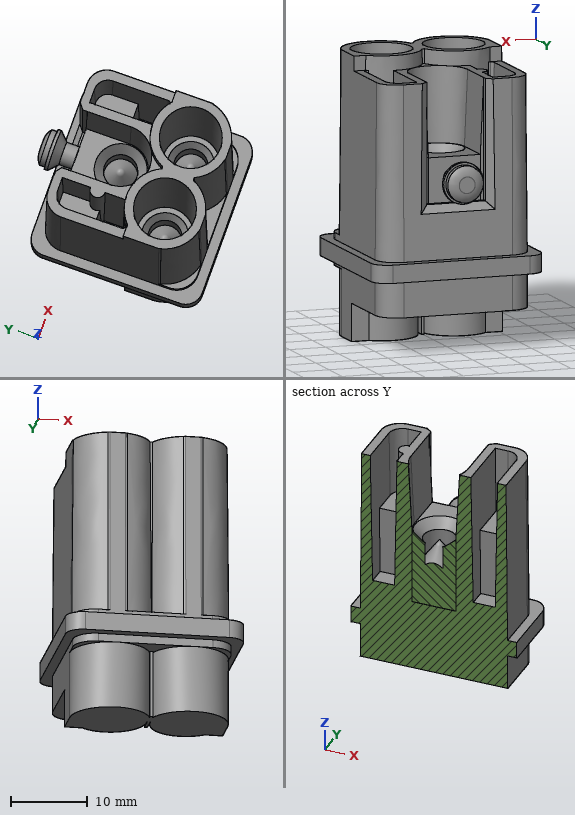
import cadquery as cq
import math

FLANGE_SIDE = 23.6
FLANGE_CORNER = 2.28
FLANGE_BOTTOM = 10.05
FLANGE_TOP = 12.45
RIM_BOTTOM = 8.95
RIM_TOP = 13.38
SKIRT_BOTTOM = 5.1
SHOULDER_TOP = 36.02
TOP = 38.0

BODY_SIDE = 20.98
BODY_CORNER = 2.93
DRAFT = 0.5
DRAFT_SHIFT = (TOP - FLANGE_TOP) * math.tan(math.radians(DRAFT))

TOWER_X = 5.0
TOWER_Y = -TOWER_X
TOWER_RADIUS = 5.55
RIB_FACE_HALF = 1.03
RIB_ROOT_HALF = 1.3
TOWER_BACK = -1.1
SLEEVE_AXIS = 5.15
SLEEVE_RADIUS = BODY_SIDE / 2 - SLEEVE_AXIS
SLEEVE_BACK_RADIUS = 4.8
SLEEVE_BACK = -1.35
WEB_THICKNESS = 0.38
WEB_FRONT = -7.45
WEB_BACK = -3.05

CONTACT_RADIUS = 3.8
CONTACT_BOTTOM = RIM_BOTTOM
CONTACT_TOP = 18.25
BORE_RADIUS = 4.1
WIRE_RADIUS = 2.25
FUNNEL_RADIUS = 3.08
FUNNEL_DEPTH = 0.95
WIRE_DEPTH = 4.55
SPIKE_HEIGHT = 3.05

GROUND_Y = 2.93
GROUND_HALF_WIDTH = 3.6
GROUND_BACK = 9.0
GROUND_BOTTOM = 15.2
GROUND_TOP = 25.85
GROUND_FUNNEL_RADIUS = 3.45
GROUND_FUNNEL_DEPTH = 1.33
CHANNEL_HALF_WIDTH = 4.05
WINDOW_SILL = 19.75
WINDOW_CHAMFER_Y = 9.65
WINDOW_FLARE = 1.15

POCKET_INNER = 5.3
POCKET_OUTER = 9.0
POCKET_BACK = 9.12
POCKET_FRONT = -0.85
POCKET_STEP_Y = 3.8
POCKET_REAR_CORNER = 1.9
POCKET_FRONT_CORNER = 0.38
POCKET_DRAFT = 1.0
POCKET_REAR_FLOOR = 26.6
POCKET_FRONT_FLOOR = 17.1
KEY_Y = 4.2
KEY_RADIUS = 1.03

SCREW_Z = 22.85
SHANK_RADIUS = 1.55
SHANK_END = 6.73
HEAD_START = 10.9
HEAD_RIM_START = 12.1
HEAD_RIM_END = 12.55
DOME_START = 13.3
SCREW_TIP = 25.7 - FLANGE_SIDE / 2
HEAD_RIM_RADIUS = 2.77
DOME_RADIUS = 2.47
TIP_RADIUS = 1.1
DOME_BULGE = 0.1


def box(x0, x1, y0, y1, z0, z1):
    """Box between two opposite corners."""
    return cq.Workplane("XY").box(x1 - x0, y1 - y0, z1 - z0, centered=False).translate((x0, y0, z0))


def cone(x, y, z0, z1, r0, r1):
    """Upright cone frustum from radius r0 at z0 to radius r1 at z1."""
    return cq.Workplane("XY").add(
        cq.Solid.makeCone(r0, r1, z1 - z0, cq.Vector(x, y, z0), cq.Vector(0, 0, 1))
    )


def cylinder(x, y, z0, z1, radius):
    return cq.Workplane("XY", origin=(x, y, z0)).circle(radius).extrude(z1 - z0)


def rounded_square(side, corner, z0, z1):
    return cq.Workplane("XY", origin=(0, 0, z0)).rect(side, side).extrude(z1 - z0).edges("|Z").fillet(corner)


def drafted_body(corner):
    """Square outer envelope above the flange, narrowing upward."""
    outline = cq.Sketch().rect(BODY_SIDE, BODY_SIDE)
    if corner:
        outline = outline.vertices().fillet(corner)
    base = cq.Workplane("XY", origin=(0, 0, FLANGE_TOP))
    return base.placeSketch(outline).extrude(TOP - FLANGE_TOP, taper=DRAFT)


def leaning_prism(points):
    """Prism from the flange to the top that leans toward +Y by the draft."""
    outline = cq.Workplane("XY", origin=(0, 0, FLANGE_TOP)).polyline(points).close().val()
    lean = cq.Vector(0, DRAFT_SHIFT, TOP - FLANGE_TOP)
    return cq.Workplane("XY").add(cq.Solid.extrudeLinear(outline, [], lean))


def tower_cone(side):
    """Drafted round tower wall, solid, on the side given by -1 or 1."""
    return cone(side * TOWER_X, TOWER_Y, FLANGE_TOP, TOP, TOWER_RADIUS, TOWER_RADIUS - DRAFT_SHIFT)


def front_rib(side):
    """Flat-faced rib with sloping sides on the front of a tower wall."""
    x = side * TOWER_X
    face = -BODY_SIDE / 2
    root = TOWER_Y - math.sqrt(TOWER_RADIUS**2 - RIB_ROOT_HALF**2)
    return leaning_prism([
        (x - RIB_ROOT_HALF, TOWER_Y),
        (x - RIB_ROOT_HALF, root),
        (x - RIB_FACE_HALF, face),
        (x + RIB_FACE_HALF, face),
        (x + RIB_ROOT_HALF, root),
        (x + RIB_ROOT_HALF, TOWER_Y),
    ])


def side_rib(side):
    """The same rib on the outer side of a tower wall."""
    x = side * TOWER_X
    return front_rib(side).rotate((x, TOWER_Y, 0), (x, TOWER_Y, 1), 90 * side)


def tower_web():
    """Thin web filling the gap between the two towers."""
    half = WEB_THICKNESS / 2
    return leaning_prism([(-half, WEB_FRONT), (half, WEB_FRONT), (half, WEB_BACK), (-half, WEB_BACK)])


def upper_housing():
    half = FLANGE_SIDE / 2
    rounded = drafted_body(BODY_CORNER)
    collar = rounded.intersect(box(-half, half, -half, half, FLANGE_TOP, RIM_TOP))
    rear = rounded.intersect(box(-half, half, TOWER_Y, half, FLANGE_TOP, SHOULDER_TOP))
    front = tower_web()
    for side in (-1, 1):
        outer = side * half
        axis = side * TOWER_X
        flank = box(min(axis, outer), max(axis, outer), TOWER_Y, TOWER_BACK, RIM_TOP, TOP)
        front = front.union(flank).union(tower_cone(side)).union(front_rib(side)).union(side_rib(side))
    front = front.intersect(drafted_body(0)).intersect(box(-half, half, -half, half, RIM_TOP, TOP))
    return collar.union(rear).union(front)


def lower_housing():
    half = BODY_SIDE / 2
    body = rounded_square(BODY_SIDE, BODY_CORNER, SKIRT_BOTTOM, RIM_BOTTOM)
    body = body.intersect(box(-half, half, -SLEEVE_AXIS, half, SKIRT_BOTTOM, RIM_BOTTOM))
    half_web = WEB_THICKNESS / 2
    body = body.union(box(-half_web, half_web, WEB_FRONT, WEB_BACK, 0, RIM_BOTTOM))
    for side in (-1, 1):
        axis, outer = side * SLEEVE_AXIS, side * half
        flank = box(min(axis, outer), max(axis, outer), -SLEEVE_AXIS, SLEEVE_BACK, 0, RIM_BOTTOM)
        round_front = cylinder(axis, -SLEEVE_AXIS, 0, RIM_BOTTOM, SLEEVE_RADIUS)
        round_front = round_front.intersect(box(-half, half, -half, -SLEEVE_AXIS, 0, RIM_BOTTOM))
        round_back = cylinder(side * TOWER_X, TOWER_Y, 0, RIM_BOTTOM, SLEEVE_BACK_RADIUS)
        body = body.union(flank).union(round_front).union(round_back)
    return body


def tower_bore(side):
    """Tapered mouth down to the contact, then a straight seat for it."""
    x = side * TOWER_X
    mouth = cone(x, TOWER_Y, CONTACT_TOP, TOP, CONTACT_RADIUS, BORE_RADIUS)
    return mouth.union(cylinder(x, TOWER_Y, CONTACT_BOTTOM, CONTACT_TOP, CONTACT_RADIUS))


def channel_outline(z, half_width, back):
    """Outline with a round nose about the ground contact axis and a square rear end."""
    return (
        cq.Workplane("XY", origin=(0, 0, z))
        .moveTo(half_width, GROUND_Y)
        .lineTo(half_width, back)
        .lineTo(-half_width, back)
        .lineTo(-half_width, GROUND_Y)
        .threePointArc((0, GROUND_Y - half_width), (half_width, GROUND_Y))
        .close()
    )


def ground_seat():
    return channel_outline(GROUND_BOTTOM, GROUND_HALF_WIDTH, GROUND_BACK).extrude(GROUND_TOP - GROUND_BOTTOM)


def ground_channel():
    """Seat of the ground contact, the drafted channel above it and the rear window."""
    depth = SHOULDER_TOP - GROUND_TOP
    draft = math.degrees(math.atan((CHANNEL_HALF_WIDTH - GROUND_HALF_WIDTH) / depth))
    mouth = channel_outline(GROUND_TOP, GROUND_HALF_WIDTH, GROUND_BACK).extrude(depth, taper=-draft)
    window = box(-CHANNEL_HALF_WIDTH, CHANNEL_HALF_WIDTH, GROUND_BACK, FLANGE_SIDE / 2, WINDOW_SILL, TOP)
    outer = BODY_SIDE / 2
    flare = (
        cq.Workplane("XZ", origin=(0, WINDOW_CHAMFER_Y, 0))
        .center(0, (WINDOW_SILL + TOP) / 2)
        .rect(2 * CHANNEL_HALF_WIDTH, TOP - WINDOW_SILL)
        .workplane(offset=WINDOW_CHAMFER_Y - outer)
        .rect(2 * (CHANNEL_HALF_WIDTH + WINDOW_FLARE), TOP - WINDOW_SILL + 2 * WINDOW_FLARE)
        .loft(ruled=True)
    )
    return ground_seat().union(mouth).union(window).union(flare)


def pocket_part(rear_end, floor, rear_corner=0):
    """Drafted part of the left wing pocket, from its front end back to rear_end."""
    outline = cq.Sketch().rect(POCKET_OUTER - POCKET_INNER, rear_end - POCKET_FRONT)
    outline = outline.vertices("<X and <Y").fillet(POCKET_FRONT_CORNER)
    if rear_corner:
        outline = outline.reset().vertices("<X and >Y").fillet(rear_corner)
    middle = (-(POCKET_INNER + POCKET_OUTER) / 2, (POCKET_FRONT + rear_end) / 2)
    return (
        cq.Workplane("XY", origin=(*middle, SHOULDER_TOP))
        .placeSketch(outline)
        .extrude(floor - SHOULDER_TOP, taper=POCKET_DRAFT)
    )


def wing_pocket():
    """Left wing pocket: shallow at the rear, deep beside the tower."""
    rear = pocket_part(POCKET_BACK, POCKET_REAR_FLOOR, POCKET_REAR_CORNER)
    front = pocket_part(POCKET_STEP_Y, POCKET_FRONT_FLOOR)
    return rear.union(front).cut(tower_cone(-1))


def make_housing():
    housing = rounded_square(FLANGE_SIDE, FLANGE_CORNER, FLANGE_BOTTOM, FLANGE_TOP)
    housing = housing.union(rounded_square(BODY_SIDE, BODY_CORNER, RIM_BOTTOM, FLANGE_BOTTOM))
    housing = housing.union(upper_housing()).union(lower_housing())
    housing = housing.cut(ground_channel())
    for side in (-1, 1):
        housing = housing.cut(tower_bore(side))
    pocket = wing_pocket()
    key = cylinder(-POCKET_INNER, KEY_Y, POCKET_FRONT_FLOOR, SHOULDER_TOP, KEY_RADIUS)
    return housing.cut(pocket.cut(key)).cut(pocket.mirror("YZ"))


def wire_entry(x, y, top, funnel_radius, funnel_depth):
    """Funnel and bore for a wire, with a cone-shaped spike left standing in the bore."""
    floor = top - WIRE_DEPTH
    bore = cylinder(x, y, floor, top, WIRE_RADIUS)
    funnel = cone(x, y, top - funnel_depth, top, WIRE_RADIUS, funnel_radius)
    spike = cone(x, y, floor, floor + SPIKE_HEIGHT, WIRE_RADIUS, 0)
    return bore.union(funnel).cut(spike)


def make_power_contact(side):
    x = side * TOWER_X
    contact = cylinder(x, TOWER_Y, CONTACT_BOTTOM, CONTACT_TOP, CONTACT_RADIUS)
    return contact.cut(wire_entry(x, TOWER_Y, CONTACT_TOP, FUNNEL_RADIUS, FUNNEL_DEPTH))


def make_ground_screw():
    dome_middle = ((DOME_RADIUS + TIP_RADIUS) / 2 + DOME_BULGE, (DOME_START + SCREW_TIP) / 2 + DOME_BULGE)
    return (
        cq.Workplane("XY")
        .moveTo(0, SHANK_END)
        .lineTo(SHANK_RADIUS, SHANK_END)
        .lineTo(SHANK_RADIUS, HEAD_START)
        .lineTo(HEAD_RIM_RADIUS, HEAD_RIM_START)
        .lineTo(HEAD_RIM_RADIUS, HEAD_RIM_END)
        .lineTo(DOME_RADIUS, HEAD_RIM_END)
        .lineTo(DOME_RADIUS, DOME_START)
        .threePointArc(dome_middle, (TIP_RADIUS, SCREW_TIP))
        .lineTo(0, SCREW_TIP)
        .close()
        .revolve(360, (0, 0, 0), (0, 1, 0))
        .translate((0, 0, SCREW_Z))
    )


def make_ground_contact(screw):
    contact = ground_seat()
    contact = contact.cut(wire_entry(0, GROUND_Y, GROUND_TOP, GROUND_FUNNEL_RADIUS, GROUND_FUNNEL_DEPTH))
    return contact.cut(screw)


housing = make_housing()
power_contacts = [make_power_contact(side) for side in (-1, 1)]
ground_screw = make_ground_screw()
ground_contact = make_ground_contact(ground_screw)

result = cq.Compound.makeCompound(
    [housing.val(), *[contact.val() for contact in power_contacts], ground_contact.val(), ground_screw.val()]
)